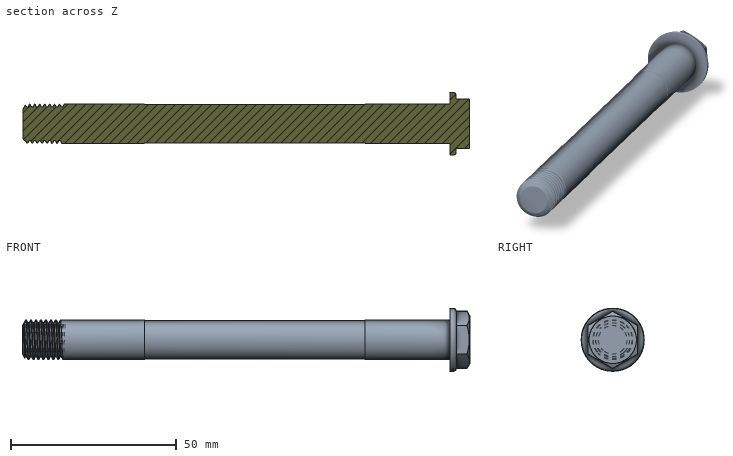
import cadquery as cq
import math

total_length = 135.0
shank_diameter = 12.0
middle_diameter = 11.7
middle_start = 36.7
middle_end = 103.4

tip_radius = 4.3
tip_chamfer_length = 1.0
thread_depth = 0.92
thread_root_width = 0.3
thread_end = 12.3
thread_turns = 9
thread_travel = 13.5
flank_angle = 30.0
groove_overshoot = 0.07

head_height = 6.1
flange_diameter = 19.0
flange_thickness = 2.0
flange_round = 1.1
across_flats = 15.0
head_face_radius = 7.2
head_chamfer_angle = 30.0

shank_radius = shank_diameter / 2
middle_radius = middle_diameter / 2
thread_pitch = thread_travel / thread_turns
flange_radius = flange_diameter / 2
head_start = total_length - head_height
corner_radius = across_flats / math.sqrt(3)


def make_shank():
    """Round shank with a chamfered tip and a slightly thinner middle."""
    outline = [
        (0, 0),
        (0, -tip_radius),
        (tip_chamfer_length, -shank_radius),
        (middle_start, -shank_radius),
        (middle_start, -middle_radius),
        (middle_end, -middle_radius),
        (middle_end, -shank_radius),
        (head_start, -shank_radius),
        (head_start, 0),
    ]
    return cq.Workplane("XZ").polyline(outline).close().revolve(360, (0, 0), (1, 0))


def make_thread_groove():
    """Right-handed V groove with a flat root, wound around the X axis."""
    helix_start = thread_end - thread_travel
    root_radius = shank_radius - thread_depth
    outer_radius = shank_radius + groove_overshoot
    half_root = thread_root_width / 2
    half_mouth = half_root + (outer_radius - root_radius) * math.tan(math.radians(flank_angle))
    path = cq.Wire.makeHelix(thread_pitch, thread_travel, shank_radius)
    profile = [
        (root_radius, -half_root),
        (outer_radius, -half_mouth),
        (outer_radius, half_mouth),
        (root_radius, half_root),
    ]
    groove = cq.Workplane("XZ").polyline(profile).close().sweep(cq.Workplane(path), isFrenet=True)
    laid_down = groove.rotate((0, 0, 0), (0, 1, 0), 90).rotate((0, 0, 0), (1, 0, 0), 180)
    return laid_down.translate((helix_start, 0, 0))


def make_flange():
    """Round flange, with its edge rounded on the hexagon side."""
    flange = cq.Workplane("YZ", origin=(head_start, 0, 0)).circle(flange_radius).extrude(flange_thickness)
    return flange.faces(">X").edges().fillet(flange_round)


def make_hexagon():
    """Hexagon with corners toward +Z and -Z, and a conical chamfer on its end."""
    hexagon = (
        cq.Workplane("YZ", origin=(head_start, 0, 0))
        .polygon(6, 2 * corner_radius)
        .extrude(head_height)
        .rotate((0, 0, 0), (1, 0, 0), 90)
    )
    cone_base_radius = head_face_radius + head_height / math.tan(math.radians(head_chamfer_angle))
    outline = [
        (head_start, 0),
        (head_start, cone_base_radius),
        (total_length, head_face_radius),
        (total_length, 0),
    ]
    cone = cq.Workplane("XZ").polyline(outline).close().revolve(360, (0, 0), (1, 0))
    return hexagon.intersect(cone)


threaded_shank = make_shank().cut(make_thread_groove())
result = threaded_shank.union(make_flange()).union(make_hexagon())